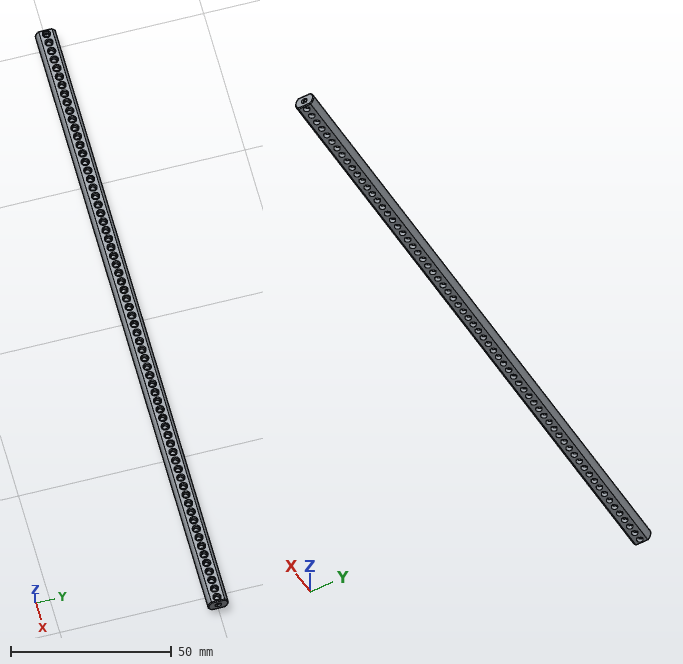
import cadquery as cq

hole_count = 67
hole_pitch = 3.125
hole_diameter = 2.0
rim_chamfer = 0.3

length = hole_count * hole_pitch
bar_diameter = 6.6
flat_height = 5.0
end_chamfer = 0.3

bore_diameter = 2.0


def flatted_bar():
    """Cylinder along X cut to flat_height in Z, with both end outlines chamfered."""
    cylinder = cq.Workplane("YZ").circle(bar_diameter / 2).extrude(length)
    slab = cq.Workplane("XY").box(length, bar_diameter, flat_height, centered=(False, True, True))
    return cylinder.intersect(slab).faces("<X or >X").chamfer(end_chamfer)


def bore():
    """Cutter for the bore, running the full length of the bar."""
    return cq.Workplane("YZ").circle(bore_diameter / 2).extrude(length)


def cross_hole_profile():
    """Half section of one cross hole in XZ, with the 45 degree flare at its top rim."""
    hole_radius = hole_diameter / 2
    top = flat_height / 2
    return [
        (0, -top),
        (hole_radius, -top),
        (hole_radius, top - rim_chamfer),
        (hole_radius + rim_chamfer, top),
        (0, top),
    ]


def cross_holes():
    """Cutters for the row of cross holes, half a pitch in from each end."""
    cutter = cq.Workplane("XZ").polyline(cross_hole_profile()).close().revolve(360, (0, 0), (0, 1)).val()
    cutters = []
    for index in range(hole_count):
        centre_x = (index + 0.5) * hole_pitch
        cutters.append(cutter.translate(cq.Vector(centre_x, 0, 0)))
    return cq.Compound.makeCompound(cutters)


drilled_bar = flatted_bar().cut(bore()).cut(cross_holes())
result = drilled_bar.solids()